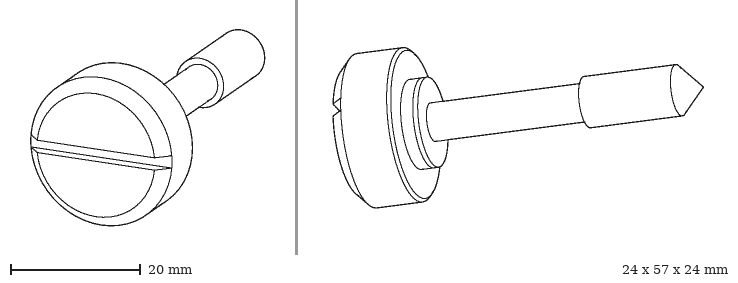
import cadquery as cq

HEAD_DIAMETER = 24.0
HEAD_LENGTH = 10.0
FRONT_BEVEL = 2.0
REAR_CHAMFER = 0.5
SHOULDER_DIAMETER = 14.0
SHOULDER_LENGTH = 2.0
SHANK_DIAMETER = 6.0
TIP_DIAMETER = 8.0
TIP_LENGTH = 15.0
POINT_LENGTH = TIP_DIAMETER / 2
OVERALL_LENGTH = 57.0
SLOT_WIDTH = 2.0
SLOT_DEPTH = 2.0
WASHER_THICKNESS = 0.8

HEAD_FACE = 0.0
HEAD_BACK = HEAD_FACE + HEAD_LENGTH
SHOULDER_END = HEAD_BACK + SHOULDER_LENGTH
POINT_END = HEAD_FACE + OVERALL_LENGTH
TIP_END = POINT_END - POINT_LENGTH
TIP_START = TIP_END - TIP_LENGTH


def make_screw():
    """Turned captive screw with a slot across its head."""
    head_radius = HEAD_DIAMETER / 2
    shoulder_radius = SHOULDER_DIAMETER / 2
    shank_radius = SHANK_DIAMETER / 2
    tip_radius = TIP_DIAMETER / 2
    half_profile = [
        (0, HEAD_FACE),
        (head_radius - FRONT_BEVEL, HEAD_FACE),
        (head_radius, HEAD_FACE + FRONT_BEVEL),
        (head_radius, HEAD_BACK - REAR_CHAMFER),
        (head_radius - REAR_CHAMFER, HEAD_BACK),
        (shoulder_radius, HEAD_BACK),
        (shoulder_radius, SHOULDER_END),
        (shank_radius, SHOULDER_END),
        (shank_radius, TIP_START),
        (tip_radius, TIP_START),
        (tip_radius, TIP_END),
        (0, POINT_END),
    ]
    turned = cq.Workplane("XY").polyline(half_profile).close().revolve(360, (0, 0), (0, 1))
    slot = cq.Workplane("XY").box(
        HEAD_DIAMETER, SLOT_DEPTH, SLOT_WIDTH, centered=(True, False, True)
    )
    return turned.cut(slot)


def make_washer():
    """Flat ring around the shank, resting on the end of the shoulder."""
    return (
        cq.Workplane("XZ", origin=(0, SHOULDER_END, 0))
        .circle(SHOULDER_DIAMETER / 2)
        .circle(SHANK_DIAMETER / 2)
        .extrude(-WASHER_THICKNESS)
    )


screw = make_screw()
washer = make_washer()

result = cq.Compound.makeCompound([screw.val(), washer.val()])